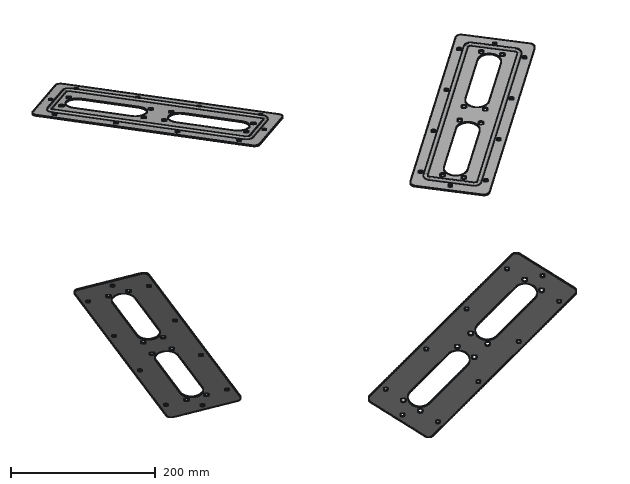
import cadquery as cq

plate_length = 332.0
plate_width = 112.0
overall_height = 5.0
plate_thickness = 2.0
plate_corner_radius = 8.0

seal_radius = overall_height - plate_thickness
seal_center_x = 147.5
seal_center_y = 38.0
seal_corner_radius = 7.0

window_spacing = 150.0
window_length = 117.5
window_width = 33.2

window_hole_diameter = 7.3
window_hole_spacing_x = 120.2
window_hole_spacing_y = 30.0

rim_hole_diameter = 6.0
rim_hole_count = 4
rim_hole_pitch = 90.0
rim_row_spacing = 92.0
end_hole_spacing = 312.0

window_centers = [(side * window_spacing / 2, 0) for side in (-1, 1)]


def make_blank():
    """Flat plate with rounded corners, its underside at Z = 0."""
    return (
        cq.Workplane("XY")
        .rect(plate_length, plate_width)
        .extrude(plate_thickness)
        .edges("|Z")
        .fillet(plate_corner_radius)
    )


def make_windows():
    """Cutter for the two round-ended windows."""
    return (
        cq.Workplane("XY")
        .pushPoints(window_centers)
        .slot2D(window_length, window_width)
        .extrude(plate_thickness)
    )


def make_holes(points, diameter):
    """Cutter for through holes at the given points."""
    return cq.Workplane("XY").pushPoints(points).circle(diameter / 2).extrude(plate_thickness)


def window_hole_points():
    """Four points around each window."""
    return [
        (center_x + side_x * window_hole_spacing_x / 2, side_y * window_hole_spacing_y / 2)
        for center_x, _ in window_centers
        for side_x in (-1, 1)
        for side_y in (-1, 1)
    ]


def rim_hole_points():
    """A row along each long side and one point at each end."""
    first_x = -rim_hole_pitch * (rim_hole_count - 1) / 2
    rows = [
        (first_x + index * rim_hole_pitch, side * rim_row_spacing / 2)
        for index in range(rim_hole_count)
        for side in (-1, 1)
    ]
    ends = [(side * end_hole_spacing / 2, 0) for side in (-1, 1)]
    return rows + ends


def make_plate():
    """Plate with its windows and holes."""
    return (
        make_blank()
        .cut(make_windows())
        .cut(make_holes(window_hole_points(), window_hole_diameter))
        .cut(make_holes(rim_hole_points(), rim_hole_diameter))
    )


def seal_run(length, angle, center):
    """Straight half-round bar centered on a point of the plate's top face, turned about Z."""
    bar = (
        cq.Workplane("YZ", origin=(-length / 2, 0, plate_thickness))
        .moveTo(-seal_radius, 0)
        .threePointArc((0, seal_radius), (seal_radius, 0))
        .close()
        .extrude(length)
    )
    return bar.rotate((0, 0, 0), (0, 0, 1), angle).translate((*center, 0))


def seal_bend(angle, center):
    """Quarter-turn half-round bend about a corner center, starting at the given angle."""
    bend = (
        cq.Workplane("XZ", origin=(0, 0, plate_thickness))
        .moveTo(seal_corner_radius - seal_radius, 0)
        .threePointArc((seal_corner_radius, seal_radius), (seal_corner_radius + seal_radius, 0))
        .close()
        .revolve(90, (0, 0), (0, 1))
    )
    return bend.rotate((0, 0, 0), (0, 0, 1), angle).translate((*center, 0))


def make_seal():
    """Closed half-round ring: four straight runs joined by four quarter bends."""
    bend_x = seal_center_x - seal_corner_radius
    bend_y = seal_center_y - seal_corner_radius
    corners = [(bend_x, bend_y), (-bend_x, bend_y), (-bend_x, -bend_y), (bend_x, -bend_y)]
    pieces = [seal_bend(index * 90, corner) for index, corner in enumerate(corners)]
    for side in (-1, 1):
        pieces.append(seal_run(2 * bend_x, 0, (0, side * seal_center_y)))
        pieces.append(seal_run(2 * bend_y, 90, (side * seal_center_x, 0)))
    seal = pieces[0]
    for piece in pieces[1:]:
        seal = seal.union(piece)
    return seal


plate = make_plate()
seal = make_seal()

result = cq.Compound.makeCompound([plate.val(), seal.val()])